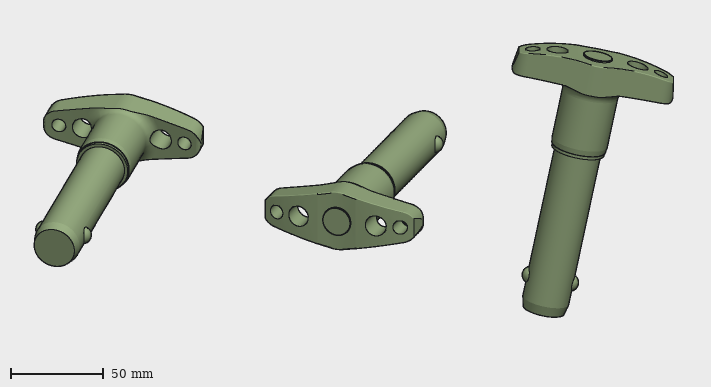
import cadquery as cq
import math


OVERALL_LENGTH = 146.8
SLEEVE_END = 54.6
SLEEVE_START = 20.0
COLLAR_START = 52.8
SLEEVE_TAPER_START = 49.7
TIP_TAPER_START = 141.2
BALL_DEPTH = 128.8

PIN_RADIUS = 25.4 / 2
PIN_TIP_RADIUS = 11.35
SLEEVE_RADIUS = 30.5 / 2
SLEEVE_TAPER_RADIUS = 14.8
COLLAR_RADIUS = 14.45
FLARE_RADIUS = 5.8

BALL_RADIUS = 9.525 / 2
BALL_REACH = 15.5

HANDLE_LENGTH = 88.7
CENTRE_RADIUS = 33.21 / 2
END_RADIUS = 9.0
END_OFFSET = HANDLE_LENGTH / 2 - END_RADIUS

DIP_DEPTH = 1.0
DIP_HALF_WIDTH = 11.0
DIP_EDGE_DEPTH = 0.5
CROWN_MIDDLE_X = 25.0
CROWN_MIDDLE_DEPTH = 1.3
CROWN_END_X = 42.6
CROWN_END_DEPTH = 5.0
TIP_DRAFT = 10.0
UNDERSIDE_TIP_DEPTH = 17.35
UNDERSIDE_CENTRE_DEPTH = 15.5
TIP_CORNER_RADIUS = 2.0
CROWN_EDGE_RADIUS = 0.5
TIP_X = CROWN_END_X + (UNDERSIDE_TIP_DEPTH - CROWN_END_DEPTH) * math.tan(math.radians(TIP_DRAFT))

UNDERSIDE_RISE = UNDERSIDE_TIP_DEPTH - UNDERSIDE_CENTRE_DEPTH
UNDERSIDE_RADIUS = (TIP_X**2 + UNDERSIDE_RISE**2) / (2 * UNDERSIDE_RISE)
HOLLOW_ANGLE = math.asin(TIP_X / UNDERSIDE_RADIUS)

SMALL_HOLE_DIAMETER = 7.7
LARGE_HOLE_DIAMETER = 11.5
LARGE_HOLE_OFFSET = 22.1

BUTTON_RADIUS = 8.0
BUTTON_CHAMFER = 0.3
BUTTON_HEIGHT = 5.0


def at_depth(depth):
    """Y coordinate of a depth below the top of the button."""
    return SLEEVE_END - depth


def along_shaft(depth):
    """Workplane across the shaft at the given depth, extruding towards -Y."""
    return cq.Workplane("XZ", origin=(0, at_depth(depth), 0))


def hollow_y(angle):
    """Y of the underside's spherical hollow at an angle from the shaft axis."""
    return at_depth(UNDERSIDE_CENTRE_DEPTH) - UNDERSIDE_RADIUS * (1 - math.cos(angle))


def handle_outline():
    """Prism with the handle's lozenge outline, reaching down to the sleeve's end."""
    slope = math.asin((CENTRE_RADIUS - END_RADIUS) / END_OFFSET)
    centre_x = CENTRE_RADIUS * math.sin(slope)
    centre_z = CENTRE_RADIUS * math.cos(slope)
    end_x = END_OFFSET + END_RADIUS * math.sin(slope)
    end_z = END_RADIUS * math.cos(slope)
    return (
        along_shaft(0)
        .moveTo(-centre_x, centre_z)
        .threePointArc((0, CENTRE_RADIUS), (centre_x, centre_z))
        .lineTo(end_x, end_z)
        .threePointArc((HANDLE_LENGTH / 2, 0), (end_x, -end_z))
        .lineTo(centre_x, -centre_z)
        .threePointArc((0, -CENTRE_RADIUS), (-centre_x, -centre_z))
        .lineTo(-end_x, -end_z)
        .threePointArc((-HANDLE_LENGTH / 2, 0), (-end_x, end_z))
        .close()
        .extrude(SLEEVE_END)
    )


def handle_slab():
    """Handle side profile swept across Z: dipped crown, drafted tips, domed-in underside."""
    dip_y = at_depth(DIP_EDGE_DEPTH)
    crown_y = at_depth(CROWN_MIDDLE_DEPTH)
    crown_end_y = at_depth(CROWN_END_DEPTH)
    tip_y = at_depth(UNDERSIDE_TIP_DEPTH)
    slab = (
        cq.Workplane("XY")
        .moveTo(-DIP_HALF_WIDTH, dip_y)
        .threePointArc((0, at_depth(DIP_DEPTH)), (DIP_HALF_WIDTH, dip_y))
        .threePointArc((CROWN_MIDDLE_X, crown_y), (CROWN_END_X, crown_end_y))
        .lineTo(TIP_X, tip_y)
        .lineTo(-TIP_X, tip_y)
        .lineTo(-CROWN_END_X, crown_end_y)
        .threePointArc((-CROWN_MIDDLE_X, crown_y), (-DIP_HALF_WIDTH, dip_y))
        .close()
        .extrude(CENTRE_RADIUS, both=True)
    )
    hollow = (
        cq.Workplane("XY")
        .moveTo(0, at_depth(UNDERSIDE_CENTRE_DEPTH))
        .threePointArc(
            (UNDERSIDE_RADIUS * math.sin(HOLLOW_ANGLE / 2), hollow_y(HOLLOW_ANGLE / 2)),
            (UNDERSIDE_RADIUS * math.sin(HOLLOW_ANGLE), hollow_y(HOLLOW_ANGLE)),
        )
        .lineTo(0, hollow_y(HOLLOW_ANGLE))
        .close()
        .revolve(360, (0, 0, 0), (0, 1, 0))
    )
    slab = slab.cut(hollow)
    for side in (-1, 1):
        tip_corner = cq.selectors.NearestToPointSelector((side * TIP_X, tip_y, 0))
        slab = slab.edges(tip_corner).fillet(TIP_CORNER_RADIUS)
    return slab


def flare():
    """Concave fillet, tangent to both the sleeve and the handle's hollow underside."""
    arc_x = SLEEVE_RADIUS + FLARE_RADIUS
    contact_angle = math.asin(arc_x / (UNDERSIDE_RADIUS - FLARE_RADIUS))
    contact_x = UNDERSIDE_RADIUS * math.sin(contact_angle)
    contact_y = hollow_y(contact_angle)
    arc_y = contact_y - FLARE_RADIUS * math.cos(contact_angle)
    diagonal = FLARE_RADIUS * math.sqrt(0.5)
    root_y = contact_y + FLARE_RADIUS
    return (
        cq.Workplane("XY")
        .moveTo(0, root_y)
        .lineTo(SLEEVE_RADIUS, root_y)
        .lineTo(contact_x, contact_y)
        .threePointArc((arc_x - diagonal, arc_y + diagonal), (SLEEVE_RADIUS, arc_y))
        .lineTo(0, arc_y)
        .close()
        .revolve(360, (0, 0, 0), (0, 1, 0))
    )


def handle():
    """Handle body with its flare, rounded crown edge and four holes."""
    outline = handle_outline()
    body = handle_slab().intersect(outline).union(flare().intersect(outline))
    body = body.faces(">Y").edges("not |Z").fillet(CROWN_EDGE_RADIUS)
    for offset, diameter in (
        (END_OFFSET, SMALL_HOLE_DIAMETER),
        (LARGE_HOLE_OFFSET, LARGE_HOLE_DIAMETER),
    ):
        holes = (
            along_shaft(0)
            .pushPoints([(-offset, 0), (offset, 0)])
            .circle(diameter / 2)
            .extrude(SLEEVE_END)
        )
        body = body.cut(holes)
    return body


def shaft():
    """Sleeve, collar and pin turned as one profile."""
    return (
        cq.Workplane("XY")
        .moveTo(0, at_depth(SLEEVE_START))
        .lineTo(SLEEVE_RADIUS, at_depth(SLEEVE_START))
        .lineTo(SLEEVE_RADIUS, at_depth(SLEEVE_TAPER_START))
        .lineTo(SLEEVE_TAPER_RADIUS, at_depth(COLLAR_START))
        .lineTo(COLLAR_RADIUS, at_depth(COLLAR_START))
        .lineTo(COLLAR_RADIUS, at_depth(SLEEVE_END))
        .lineTo(PIN_RADIUS, at_depth(SLEEVE_END))
        .lineTo(PIN_RADIUS, at_depth(TIP_TAPER_START))
        .lineTo(PIN_TIP_RADIUS, at_depth(OVERALL_LENGTH))
        .lineTo(0, at_depth(OVERALL_LENGTH))
        .close()
        .revolve(360, (0, 0, 0), (0, 1, 0))
    )


def locking_balls():
    """Pair of balls standing out of opposite sides of the pin."""
    centre_x = BALL_REACH - BALL_RADIUS
    return (
        cq.Workplane("XY")
        .pushPoints([(-centre_x, at_depth(BALL_DEPTH)), (centre_x, at_depth(BALL_DEPTH))])
        .sphere(BALL_RADIUS)
    )


def button():
    """Round release button standing just proud of the crown."""
    disc = along_shaft(0).circle(BUTTON_RADIUS).extrude(BUTTON_HEIGHT)
    return disc.faces(">Y").edges().chamfer(BUTTON_CHAMFER)


result = handle().union(shaft()).union(locking_balls()).union(button())